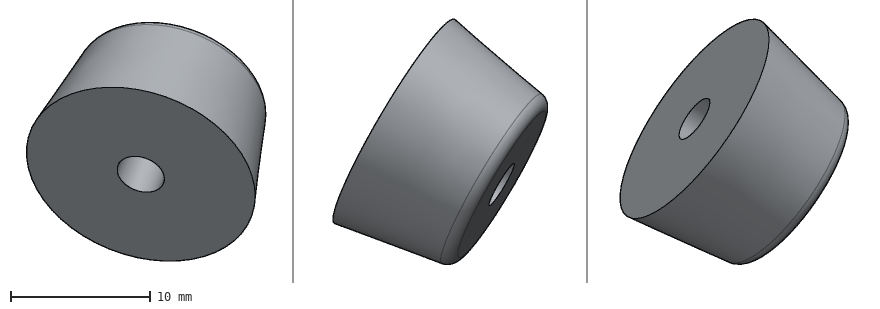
import cadquery as cq
import math

base_diameter = 17.0
height = 9.0
draft_angle = 10.0
edge_radius = 1.0
hole_diameter = 3.5

base_radius = base_diameter / 2
end_radius = base_radius - height * math.tan(math.radians(draft_angle))


def tapered_body():
    """Cone frustum narrowing toward +Y, with a rounded rim on the narrow end."""
    half_section = (
        cq.Workplane("XY")
        .moveTo(0, 0)
        .lineTo(base_radius, 0)
        .lineTo(end_radius, height)
        .lineTo(0, height)
        .close()
    )
    frustum = half_section.revolve(360, (0, 0, 0), (0, 1, 0))
    return frustum.faces(">Y").edges().fillet(edge_radius)


def through_hole():
    """Cylinder along the axis, running the full height of the body."""
    return cq.Workplane("XZ").circle(hole_diameter / 2).extrude(-height)


result = tapered_body().cut(through_hole())